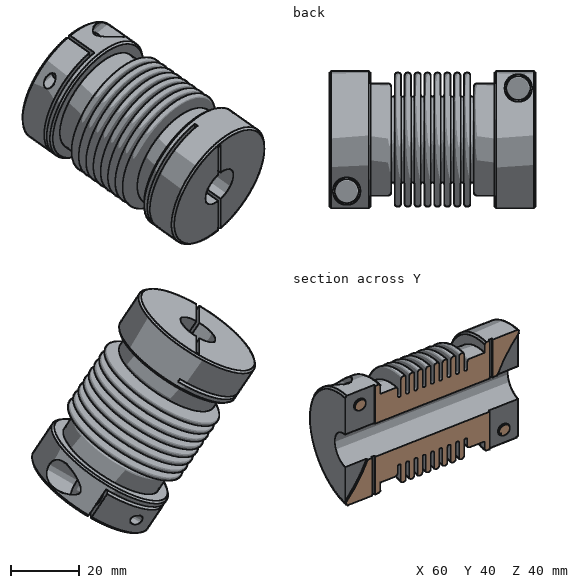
import cadquery as cq

length = 60.0
hub_diameter = 40.0
hub_radius = hub_diameter / 2
bore_radius = 6.0
left_end = -length / 2

hub_length = 12.0
hub_chamfer = 0.6
collar_end = 18.0
collar_radius = 16.4
collar_fillet = 1.0

crest_count = 8
crest_pitch = 2.9
crest_radius = 19.55
root_radius = 12.5
bellows_length = length - 2 * collar_end
root_width = bellows_length - crest_count * crest_pitch
crest_width = crest_pitch - root_width

cut_width = 1.0
cross_cut_start = 9.1
cross_cut_end = cross_cut_start + cut_width
lower_cut_depth = 7.5
lower_cut_reach = 18.5
saw_radius = 48.0

screw_depth = 5.05
screw_height = 15.0
screw_radius = 2.0
screw_length = 13.8
head_radius = 3.5
head_height = 4.0
head_fillet = 0.4
head_top = 7.45
head_seat = head_top - head_height
screw_tip = head_seat - screw_length
counterbore_radius = 4.0
tip_hole_radius = 1.6


def cylinder_x(start, end, radius):
    """Cylinder on the coupling axis, from X = start up to X = end."""
    return cq.Workplane("YZ", origin=(start, 0, 0)).circle(radius).extrude(end - start)


def cylinder_y(start, end, radius):
    """Cylinder on the clamping screw axis, from Y = start up to Y = end."""
    plane = cq.Workplane("XZ", origin=(left_end + screw_depth, start, screw_height))
    return plane.circle(radius).extrude(start - end)


def make_hub_body():
    hub = cylinder_x(left_end, left_end + hub_length, hub_radius)
    hub = hub.edges().chamfer(hub_chamfer)
    collar = cylinder_x(left_end + hub_length / 2, left_end + collar_end, collar_radius)
    collar = collar.faces(">X").edges().fillet(collar_fillet)
    bore = cylinder_x(left_end, left_end + collar_end, bore_radius)
    return hub.union(collar).cut(bore)


def make_saw_cuts():
    cross_cut = cq.Workplane("XY").box(
        cut_width, hub_diameter, hub_diameter, centered=(False, False, True)
    )
    cross_cut = cross_cut.translate((left_end + cross_cut_start, cut_width / 2 - hub_diameter, 0))

    upper_cut = cq.Workplane("XY").box(
        cross_cut_end, cut_width, hub_radius, centered=(False, True, False)
    )
    upper_cut = upper_cut.translate((left_end, 0, 0))

    lower_cut = (
        cq.Workplane("XZ", origin=(left_end, 0, 0))
        .lineTo(0, -lower_cut_reach)
        .radiusArc((lower_cut_depth, -bore_radius), -saw_radius)
        .lineTo(lower_cut_depth, 0)
        .close()
        .extrude(cut_width / 2, both=True)
    )
    return cross_cut.union(upper_cut).union(lower_cut)


def make_screw():
    head = cylinder_y(head_seat, head_top, head_radius)
    head = head.faces(">Y").edges().fillet(head_fillet)
    shank = cylinder_y(screw_tip, head_seat, screw_radius)
    return head.union(shank)


def make_clamp():
    counterbore = cylinder_y(head_seat, hub_radius, counterbore_radius)
    tip_hole = cylinder_y(-hub_radius, screw_tip, tip_hole_radius)
    body = make_hub_body().cut(make_saw_cuts()).cut(counterbore).cut(tip_hole)
    return body.union(make_screw())


def make_bellows():
    crest_arc_radius = crest_width / 2
    root_arc_radius = root_width / 2
    crest_base = crest_radius - crest_arc_radius
    root_top = root_radius + root_arc_radius

    def add_root(profile, x):
        return profile.threePointArc((x + root_arc_radius, root_radius), (x + root_width, root_top))

    def add_crest(profile, x):
        profile = profile.lineTo(x, crest_base)
        profile = profile.threePointArc(
            (x + crest_arc_radius, crest_radius), (x + crest_width, crest_base)
        )
        return profile.lineTo(x + crest_width, root_top)

    start = -bellows_length / 2
    end = bellows_length / 2
    profile = cq.Workplane("XY").moveTo(start, bore_radius).lineTo(start, root_top)
    for index in range(crest_count):
        root_start = start + index * crest_pitch
        profile = add_root(profile, root_start)
        profile = add_crest(profile, root_start + root_width)
    profile = add_root(profile, end - root_width)
    profile = profile.lineTo(end, bore_radius).close()
    return profile.revolve(360, (0, 0, 0), (1, 0, 0))


left_clamp = make_clamp()
right_clamp = left_clamp.rotate((0, 0, 0), (0, 1, 0), 180)
result = make_bellows().union(left_clamp).union(right_clamp)